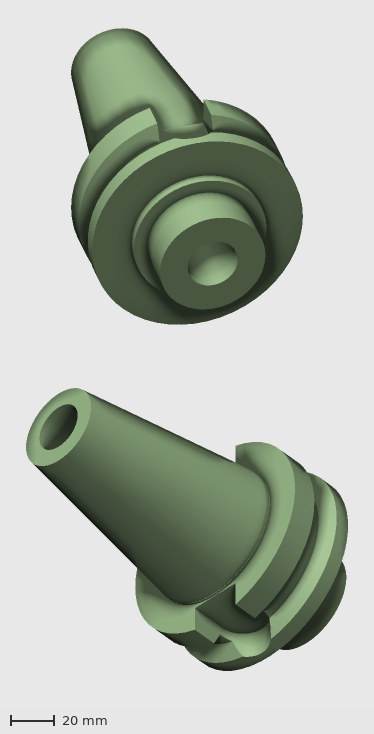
import cadquery as cq

total_length = 165.7
bore_radius = 12.0

taper_length = 101.7
taper_small_radius = 20.4
taper_large_radius = 35.0
neck_length = 1.8
collar_length = 1.2
collar_radius = 35.1

flange_radius = 50.0
rear_rim_width = 13.0
groove_floor_radius = 42.5
groove_floor_width = 7.0
groove_wall_width = 4.0
front_rim_width = 7.6

shoulder_radius = 31.5
shoulder_length = 4.5
nose_radius = 25.0

slot_width = 25.5
slot_length = 31.3
slot_floor_height = 35.3

neck_end = taper_length + neck_length
flange_start = neck_end + collar_length
groove_start = flange_start + rear_rim_width
floor_start = groove_start + groove_wall_width
floor_end = floor_start + groove_floor_width
groove_end = floor_end + groove_wall_width
flange_end = groove_end + front_rim_width
shoulder_end = flange_end + shoulder_length


def make_body():
    """Revolve the half section, including the through bore, about X."""
    return (
        cq.Workplane("XY")
        .moveTo(0, bore_radius)
        .lineTo(0, taper_small_radius)
        .lineTo(taper_length, taper_large_radius)
        .lineTo(neck_end, taper_large_radius)
        .lineTo(neck_end, collar_radius)
        .lineTo(flange_start, collar_radius)
        .lineTo(flange_start, flange_radius)
        .lineTo(groove_start, flange_radius)
        .lineTo(floor_start, groove_floor_radius)
        .lineTo(floor_end, groove_floor_radius)
        .lineTo(groove_end, flange_radius)
        .lineTo(flange_end, flange_radius)
        .lineTo(flange_end, shoulder_radius)
        .lineTo(shoulder_end, shoulder_radius)
        .lineTo(shoulder_end, nose_radius)
        .lineTo(total_length, nose_radius)
        .lineTo(total_length, bore_radius)
        .close()
        .revolve(360, (0, 0, 0), (1, 0, 0))
    )


def make_slot():
    """Upper drive slot: open at the rear flange face, round at the front."""
    half_width = slot_width / 2
    slot_end = flange_start + slot_length
    arc_start = slot_end - half_width
    return (
        cq.Workplane("XY", origin=(0, 0, slot_floor_height))
        .moveTo(flange_start, -half_width)
        .lineTo(arc_start, -half_width)
        .threePointArc((slot_end, 0), (arc_start, half_width))
        .lineTo(flange_start, half_width)
        .close()
        .extrude(flange_radius - slot_floor_height)
    )


upper_slot = make_slot()
lower_slot = upper_slot.mirror("XY")
result = make_body().cut(upper_slot).cut(lower_slot)